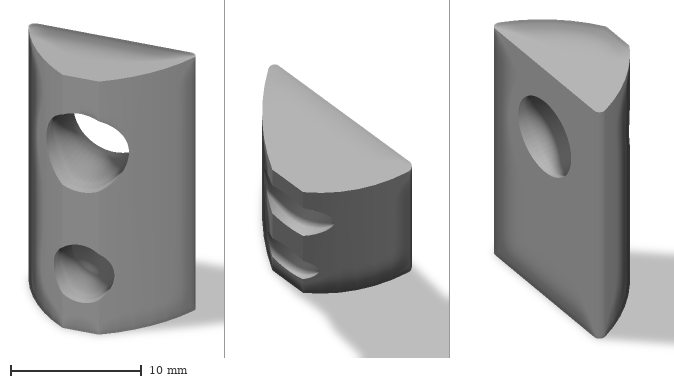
import cadquery as cq
import math

length = 22.0
width = 13.7
depth = 7.0
front_flat_width = 3.0
side_radius = 13.97
corner_radius = 0.5

through_diameter = 6.8
through_height = 15.49
blind_diameter = 5.0
blind_height = 5.0
blind_wall_depth = 4.4
drill_tip_angle = 118.0

half_width = width / 2
half_flat = front_flat_width / 2
front_y = -depth / 2
back_y = depth / 2


def flank_points():
    """Middle and back end of the +X flank arc.

    The flank is tangent to the corner round, so its centre lies at
    side_radius - corner_radius from the corner centre.
    """
    corner = (half_width - corner_radius, back_y - corner_radius)
    gap_x = corner[0] - half_flat
    gap_y = corner[1] - front_y
    span = math.hypot(gap_x, gap_y)
    centre_gap = side_radius - corner_radius
    cosine = (span**2 + side_radius**2 - centre_gap**2) / (2 * span * side_radius)
    direction = math.atan2(gap_y, gap_x) + math.acos(cosine)
    centre = (
        half_flat + side_radius * math.cos(direction),
        front_y + side_radius * math.sin(direction),
    )
    end_angle = math.atan2(corner[1] - centre[1], corner[0] - centre[0])
    front_angle = math.atan2(front_y - centre[1], half_flat - centre[0])
    middle_angle = (end_angle + front_angle) / 2

    def on_circle(middle, radius, angle):
        return (
            middle[0] + radius * math.cos(angle),
            middle[1] + radius * math.sin(angle),
        )

    return (
        on_circle(centre, side_radius, middle_angle),
        on_circle(corner, corner_radius, end_angle),
    )


def mirrored(point):
    return (-point[0], point[1])


def body():
    flank_middle, flank_end = flank_points()
    back_corner = (half_width - corner_radius, back_y)
    corner_reach = corner_radius * math.sqrt(0.5)
    corner_middle = (
        half_width - corner_radius + corner_reach,
        back_y - corner_radius + corner_reach,
    )
    side_point = (half_width, back_y - corner_radius)
    return (
        cq.Workplane("XY")
        .moveTo(-half_flat, front_y)
        .lineTo(half_flat, front_y)
        .threePointArc(flank_middle, flank_end)
        .tangentArcPoint(side_point, relative=False)
        .threePointArc(corner_middle, back_corner)
        .lineTo(*mirrored(back_corner))
        .threePointArc(mirrored(corner_middle), mirrored(side_point))
        .tangentArcPoint(mirrored(flank_end), relative=False)
        .threePointArc(mirrored(flank_middle), (-half_flat, front_y))
        .close()
        .extrude(length)
    )


def through_hole():
    return (
        cq.Workplane("XZ", origin=(0, back_y, through_height))
        .circle(through_diameter / 2)
        .extrude(depth)
    )


def blind_hole():
    """Drilled pocket with a conical bottom, revolved about its own axis."""
    radius = blind_diameter / 2
    tip_length = radius / math.tan(math.radians(drill_tip_angle / 2))
    wall_end = front_y + blind_wall_depth
    return (
        cq.Workplane("XY", origin=(0, 0, blind_height))
        .moveTo(0, front_y)
        .lineTo(radius, front_y)
        .lineTo(radius, wall_end)
        .lineTo(0, wall_end + tip_length)
        .close()
        .revolve(360, (0, 0), (0, 1))
    )


result = body().cut(through_hole()).cut(blind_hole())